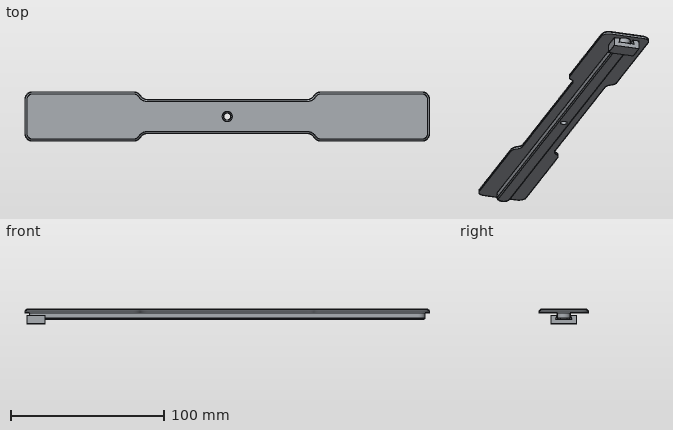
import cadquery as cq
import math

length = 264.0
paddle_width = 32.2
neck_width = 22.2
neck_half_length = 52.0
shoulder_length = 9.2
corner_radius = 5.0
plate_thickness = 2.5
bevel_width = 1.3
bevel_height = 1.0

rail_length = 258.2
rail_width = 8.7
rail_height = 4.2
rail_chamfer = 0.8

hole_diameter = 4.5
countersink_diameter = 6.5
countersink_angle = 90

slider_length = 12.0
slider_width = 17.0
slider_height = 5.5
groove_floor_width = 10.3
slider_end_gap = 1.3
total_height = 9.5

plate_bottom = total_height - plate_thickness
rail_bottom = plate_bottom - rail_height


def blade_outline():
    """Closed outline of the blade, with S-shaped shoulders of two equal arcs."""
    x_neck = neck_half_length
    x_paddle = x_neck + shoulder_length
    y_neck = neck_width / 2
    y_paddle = paddle_width / 2
    step = y_paddle - y_neck
    turn = 2 * math.atan2(step, shoulder_length)
    radius = shoulder_length / 2 / math.sin(turn)
    mid_run = radius * math.sin(turn / 2)
    mid_rise = radius * (1 - math.cos(turn / 2))
    low = (x_neck + mid_run, y_neck + mid_rise)
    middle = (x_neck + shoulder_length / 2, y_neck + step / 2)
    high = (x_paddle - mid_run, y_paddle - mid_rise)

    def flip(point, sx, sy):
        return (sx * point[0], sy * point[1])

    neck = (x_neck, y_neck)
    paddle = (x_paddle, y_paddle)
    tip = (length / 2, y_paddle)
    outline = cq.Workplane("XY").workplane(offset=plate_bottom).moveTo(*flip(neck, -1, 1))
    for side in (1, -1):
        outline = (
            outline.lineTo(*flip(neck, side, side))
            .threePointArc(flip(low, side, side), flip(middle, side, side))
            .threePointArc(flip(high, side, side), flip(paddle, side, side))
            .lineTo(*flip(tip, side, side))
            .lineTo(*flip(tip, side, -side))
            .lineTo(*flip(paddle, side, -side))
            .threePointArc(flip(high, side, -side), flip(middle, side, -side))
            .threePointArc(flip(low, side, -side), flip(neck, side, -side))
        )
    return outline.close()


def make_plate():
    plate = blade_outline().extrude(plate_thickness)
    tips = cq.selectors.BoxSelector(
        (-length, -paddle_width, 0), (-length / 2 + corner_radius, paddle_width, total_height)
    ) + cq.selectors.BoxSelector(
        (length / 2 - corner_radius, -paddle_width, 0), (length, paddle_width, total_height)
    )
    plate = plate.edges("|Z").edges(tips).fillet(corner_radius)
    return plate.faces(">Z").edges().chamfer(bevel_height, bevel_width)


def make_rail():
    rail = cq.Workplane("XY").workplane(offset=rail_bottom).slot2D(rail_length, rail_width).extrude(rail_height)
    return rail.faces("<Z").edges().chamfer(rail_chamfer)


def make_blade():
    blade = make_plate().union(make_rail())
    return blade.faces(">Z").workplane(origin=(0, 0, total_height)).cskHole(
        hole_diameter, countersink_diameter, countersink_angle
    )


def make_slider():
    x_center = -length / 2 + slider_end_gap + slider_length / 2
    block = cq.Workplane("XY").center(x_center, 0).rect(slider_length, slider_width).extrude(slider_height)
    groove = (
        cq.Workplane("YZ")
        .workplane(offset=x_center - slider_length / 2)
        .polyline([
            (-groove_floor_width / 2, rail_bottom),
            (groove_floor_width / 2, rail_bottom),
            (rail_width / 2, slider_height),
            (-rail_width / 2, slider_height),
        ])
        .close()
        .extrude(slider_length)
    )
    return block.cut(groove)


blade = make_blade()
slider = make_slider()
result = cq.Compound.makeCompound([blade.val(), slider.val()])